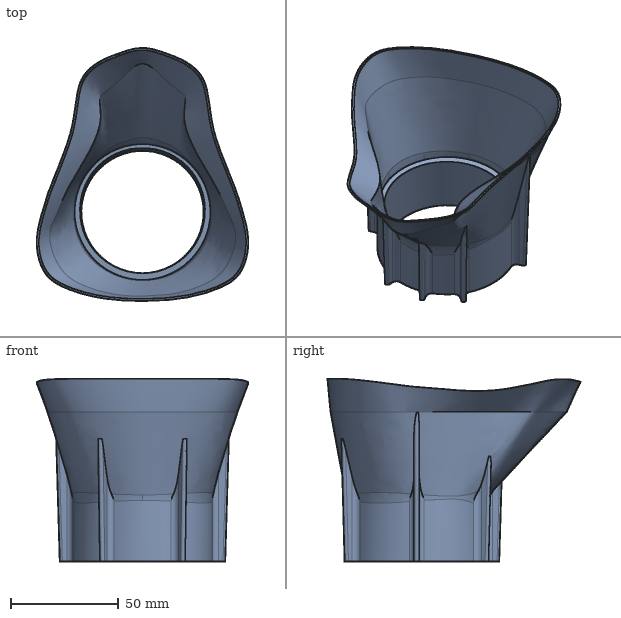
import cadquery as cq
import math

LEDGE_Z = 27.8
NECK_Z = 29.9
SHOULDER_Z = 70.0

TUBE_RADIUS = 32.8
BORE_RADIUS = 28.5
MOUTH_RADIUS = 29.2
MOUTH_SHIFT = 0.7
WALL = 1.1
NECK_BLEND = 14.2

RIBS = ((0, 69.8), (60, 59.1), (90, 47.3), (120, 59.1), (180, 69.8), (240, 57.4), (300, 57.4))
RIB_TIP_RADIUS = 38.7
RIB_THICKNESS = 2.4
RIB_DRAFT = 1.7
RIB_ROOT_FILLET = 3.0
RIB_EMBED = 1.2
ROOT_OVERLAP = 0.02

FRONT_ANGLE = -90
STATIONS = [
    (FRONT_ANGLE, (0, -40.2), (0, -41.6, 85.4)),
    (-70, (15.4, -38.9), (20.7, -40.0, 85.4)),
    (-50, (29.6, -34.4), (37.5, -34.8, 85.3)),
    (-32, (40.1, -25.4), (46.6, -26.6, 84.7)),
    (-17, (44.5, -11.8), (49.4, -14.2, 83.3)),
    (0, (41.2, -0.6), (46.8, 0, 81.5)),
    (22, (35.1, 12.5), (42.1, 14.2, 80.4)),
    (37, (26.6, 27.1), (36.7, 27.8, 79.6)),
    (45, (22.4, 36.2), (33.0, 39.6, 80.3)),
    (52, (20.6, 44.1), (31.1, 51.5, 82.3)),
    (60, (21.0, 52), (28.6, 61.5, 84.5)),
    (68, (19.4, 56.1), (23.0, 68.2, 85.2)),
    (80, (10.9, 62.9), (11.2, 74.0, 84.6)),
    (90, (0, 70.3), (0, 76.6, 83.9)),
]


def all_stations():
    """Both halves, anticlockwise from the station at the front."""
    right = [(angle, (*shoulder, SHOULDER_Z), rim) for angle, shoulder, rim in STATIONS]
    left = [
        (180 - angle, (-shoulder[0], *shoulder[1:]), (-rim[0], *rim[1:]))
        for angle, shoulder, rim in right[-2:0:-1]
    ]
    return right + left


def inset(points, distance):
    """Move the points of a closed anticlockwise outline inward in plan."""
    moved = []
    for i, (x, y, z) in enumerate(points):
        x0, y0, _ = points[i - 1]
        x1, y1, _ = points[(i + 1) % len(points)]
        length = math.hypot(x1 - x0, y1 - y0)
        moved.append((x - distance * (y1 - y0) / length, y + distance * (x1 - x0) / length, z))
    return moved


def outline(points, angles):
    """Closed curve that passes each point at its angle on the neck circle."""
    parameters = [math.radians(angle) for angle in (*angles, angles[0] + 360)]
    return cq.Edge.makeSpline([cq.Vector(*p) for p in points], periodic=True, parameters=parameters)


def circle(radius, height, shift_y=0):
    """Circle that starts at the front, like the outlines."""
    ring = cq.Edge.makeCircle(radius).rotate(cq.Vector(0, 0, 0), cq.Vector(0, 0, 1), FRONT_ANGLE)
    return ring.translate(cq.Vector(0, shift_y, height))


def tube_between(rings):
    """Ring-shaped solid whose faces join each closed ring to the next, and the last to the first."""
    faces = [cq.Face.makeRuledSurface(a, b) for a, b in zip(rings, rings[1:] + rings[:1])]
    return cq.Workplane(cq.Solid.makeSolid(cq.Shell.makeShell(faces)))


def stack(rings):
    """Solid through flat rings, from the lowest to the highest, with straight sides."""
    return cq.Workplane(cq.Solid.makeLoft([cq.Wire.assembleEdges([ring]) for ring in rings], True))


def blend_neck(solid):
    """Round the bend where the tube opens into the funnel."""
    neck_edge = cq.selectors.NearestToPointSelector((0, 0, NECK_Z))
    return solid.edges(neck_edge).fillet(NECK_BLEND)


def rib_profile(height):
    """Fin outline with a round tip and concave flanks that run out on the tube."""
    half = RIB_THICKNESS / 2
    tip_u = RIB_TIP_RADIUS + height * math.tan(math.radians(RIB_DRAFT))
    root_radius = TUBE_RADIUS - ROOT_OVERLAP
    fillet_v = half + RIB_ROOT_FILLET
    fillet_distance = root_radius + RIB_ROOT_FILLET
    fillet_angle = math.asin(fillet_v / fillet_distance)
    fillet_u = fillet_distance * math.cos(fillet_angle)
    foot_u = root_radius * math.cos(fillet_angle)
    foot_v = root_radius * math.sin(fillet_angle)
    middle_angle = (fillet_angle + math.pi / 2) / 2
    middle_u = fillet_u - RIB_ROOT_FILLET * math.cos(middle_angle)
    middle_v = fillet_v - RIB_ROOT_FILLET * math.sin(middle_angle)
    return (
        cq.Workplane("XY", origin=(0, 0, height))
        .moveTo(foot_u - RIB_EMBED, -foot_v)
        .lineTo(foot_u, -foot_v)
        .threePointArc((middle_u, -middle_v), (fillet_u, -half))
        .lineTo(tip_u - half, -half)
        .threePointArc((tip_u, 0), (tip_u - half, half))
        .lineTo(fillet_u, half)
        .threePointArc((middle_u, middle_v), (foot_u, foot_v))
        .lineTo(foot_u - RIB_EMBED, foot_v)
        .close()
        .val()
    )


def make_rib(angle, top_z):
    """Upright rib that fades out where the funnel wall reaches its leaning tip."""
    fin = cq.Workplane(cq.Solid.makeLoft([rib_profile(0), rib_profile(top_z)], True))
    return fin.rotate((0, 0, 0), (0, 0, 1), angle)


stations = all_stations()
angles = [angle for angle, _, _ in stations]
shoulder_points = [shoulder for _, shoulder, _ in stations]
rim_points = [rim for _, _, rim in stations]
shoulder_outside = outline(shoulder_points, angles)
shoulder_inside = outline(inset(shoulder_points, WALL), angles)

lower = blend_neck(stack([circle(TUBE_RADIUS, 0), circle(TUBE_RADIUS, NECK_Z), shoulder_outside]))
for angle, top_z in RIBS:
    lower = lower.union(make_rib(angle, top_z))

throat_radius = TUBE_RADIUS - WALL
hollow = blend_neck(stack([circle(throat_radius, LEDGE_Z), circle(throat_radius, NECK_Z), shoulder_inside]))
bore = stack([circle(BORE_RADIUS, 0), circle(MOUTH_RADIUS, LEDGE_Z, MOUTH_SHIFT)])
lower = lower.cut(hollow).cut(bore)

band = tube_between([
    shoulder_outside,
    outline(rim_points, angles),
    outline(inset(rim_points, WALL), angles),
    shoulder_inside,
])

result = cq.Workplane(lower.union(band).solids().val())